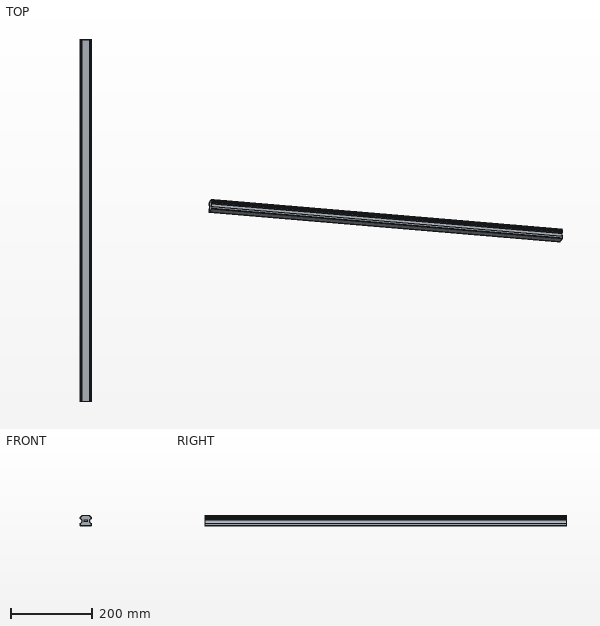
import cadquery as cq
import math

length = 890.0
width = 28.0
height = 26.0

base_chamfer = 1.35
foot_side_top = 5.7
relief_width = 22.4
relief_floor_width = 8.0
relief_depth = 0.5

waist_width = 18.8
waist_fillet = 1.8

head_slope_angle = math.radians(45)
head_side_bottom = 19.0
head_side_top = 21.1

groove_half_angle = math.radians(35.5)
groove_tip_land = 2.2
upper_groove_inner_land = 1.5
lower_groove_inner_land = 1.4

recess_width = 9.0
recess_height = 4.0
recess_center_height = 13.0
recess_depth = 0.5

half_width = width / 2
half_waist = waist_width / 2
slope_run = half_width - half_waist
foot_slope_top = foot_side_top + slope_run
undercut_bottom = head_side_bottom - slope_run
half_top = half_width - (height - head_side_top)


def along(start, end, distance):
    """Point at a distance from start on the line towards end."""
    share = distance / math.dist(start, end)
    return tuple(a + (b - a) * share for a, b in zip(start, end))


def groove_middle(start, end):
    """Deepest point of a groove arc between two points on a head slope."""
    sagitta = math.dist(start, end) / 2 * math.tan(groove_half_angle / 2)
    across = sagitta * math.cos(head_slope_angle)
    x_mid = (start[0] + end[0]) / 2
    z_mid = (start[1] + end[1]) / 2
    toward_center = 1 if z_mid < (head_side_bottom + head_side_top) / 2 else -1
    return (x_mid - across, z_mid + toward_center * across)


def half_section():
    """Right half of the rail section, from the base centre up to the top centre."""
    waist_upper = (half_waist, undercut_bottom)
    lower_tip = (half_width, head_side_bottom)
    upper_tip = (half_width, head_side_top)
    top_edge = (half_top, height)

    lower_start = along(waist_upper, lower_tip, lower_groove_inner_land)
    lower_end = along(lower_tip, waist_upper, groove_tip_land)
    upper_start = along(upper_tip, top_edge, groove_tip_land)
    upper_end = along(top_edge, upper_tip, upper_groove_inner_land)

    return (
        cq.Workplane("XZ")
        .moveTo(0, relief_depth)
        .lineTo(relief_floor_width / 2, relief_depth)
        .lineTo(relief_width / 2, 0)
        .lineTo(half_width - base_chamfer, 0)
        .lineTo(half_width, base_chamfer)
        .lineTo(half_width, foot_side_top)
        .lineTo(half_waist, foot_slope_top)
        .lineTo(*waist_upper)
        .lineTo(*lower_start)
        .threePointArc(groove_middle(lower_start, lower_end), lower_end)
        .lineTo(*lower_tip)
        .lineTo(*upper_tip)
        .lineTo(*upper_start)
        .threePointArc(groove_middle(upper_start, upper_end), upper_end)
        .lineTo(*top_edge)
        .lineTo(0, height)
    )


def rail_body():
    """Section mirrored about the mid plane and extruded along Y, with rounded waist corners."""
    section = half_section().mirrorY()
    body = section.extrude(length / 2, both=True)
    for side in (-1, 1):
        corner = (side * half_waist, 0, foot_slope_top)
        body = body.edges(cq.selectors.NearestToPointSelector(corner)).fillet(waist_fillet)
    return body.translate((0, 0, -height / 2))


def end_recess():
    """Shallow rectangular recess tool at the -Y end."""
    tool = cq.Workplane("XY").box(recess_width, recess_depth, recess_height)
    return tool.translate((0, (recess_depth - length) / 2, recess_center_height - height / 2))


result = rail_body().cut(end_recess())